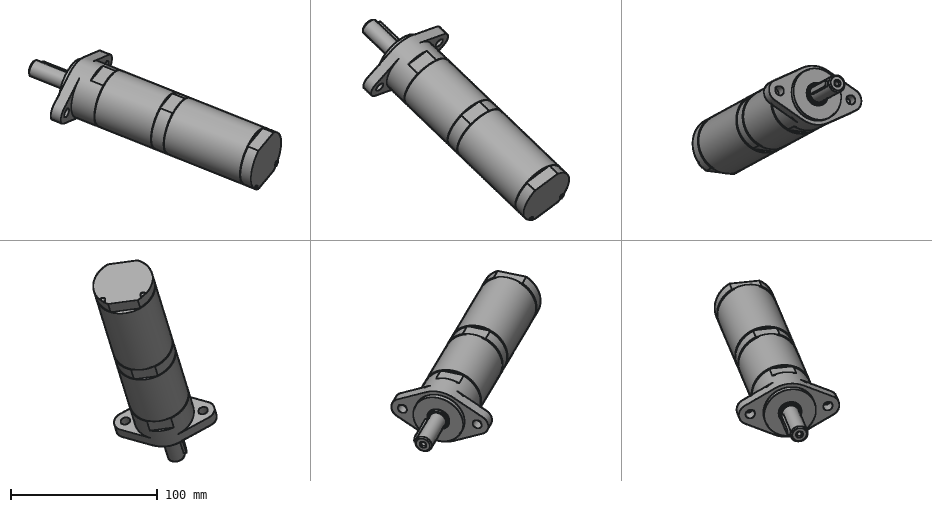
import cadquery as cq
import math

seal_start = 30.1
pilot_start = 31.2
flange_start = 34.5
flange_thickness = 8.0
front_flat_start = 50.7
gear_start = 60.5
middle_flat_start = 105.0
motor_start = 115.0
cap_start = 175.0
cap_end = 183.7
overall_length = 184.2

body_diameter = 41.5
body_radius = body_diameter / 2
section_chamfer = 0.5
gear_flat_height = 38.0
cap_flat_height = 36.0

bolt_spacing = 54.0
bolt_hole_diameter = 6.5
ear_radius = 8.0
pilot_diameter = 36.0

seal_lip_diameter = 14.2
seal_recess_diameter = 14.95
seal_mouth_diameter = 16.0
seal_mouth_depth = 0.5
seal_recess_depth = 1.0

shaft_diameter = 12.0
shaft_chamfer = 1.0
centre_hole_diameter = 3.24
centre_hole_depth = 10.0
drill_point_angle = 118.0
countersink_diameter = 5.0

key_start = 2.8
key_length = 25.0
key_width = 4.0
key_height = 4.0
key_top = 7.5

pad_diameter = 4.0
pad_circle_radius = 20.0
pad_angles = (-45.0, -135.0)


def cylinder(start, end, diameter):
    """Cylinder on the motor axis between two stations."""
    return cq.Workplane("YZ", origin=(start, 0, 0)).circle(diameter / 2).extrude(end - start)


def chamfered_section(start, end):
    """Full-diameter body section with a chamfer on its front edge."""
    return cylinder(start, end, body_diameter).faces("<X").chamfer(section_chamfer)


def cut_flats(body, start, end, height):
    """Mill a pair of flats square to Z, leaving the given height between them."""
    length = end - start
    band = cq.Workplane("YZ", origin=(start, 0, 0)).rect(body_diameter, body_diameter).extrude(length)
    kept = cq.Workplane("YZ", origin=(start, 0, 0)).rect(body_diameter, height).extrude(length)
    return body.cut(band.cut(kept))


def make_body():
    """Row of equal-diameter sections with three pairs of wrench flats."""
    body = cylinder(flange_start, gear_start, body_diameter)
    section_ends = (gear_start, middle_flat_start, motor_start, cap_start, cap_end)
    for start, end in zip(section_ends, section_ends[1:]):
        body = body.union(chamfered_section(start, end))
    body = cut_flats(body, front_flat_start, gear_start, gear_flat_height)
    body = cut_flats(body, middle_flat_start, motor_start, gear_flat_height)
    return cut_flats(body, cap_start, cap_end, cap_flat_height)


def make_flange():
    """Two bolt ears whose straight sides run tangent to the body circle."""
    ear_offset = bolt_spacing / 2
    normal_y = (body_radius - ear_radius) / ear_offset
    normal_z = math.sqrt(1 - normal_y**2)
    body_y = body_radius * normal_y
    body_z = body_radius * normal_z
    ear_y = ear_offset + ear_radius * normal_y
    ear_z = ear_radius * normal_z
    ear_tip = ear_offset + ear_radius
    outline = cq.Workplane("YZ", origin=(flange_start, 0, 0)).moveTo(-body_y, body_z)
    return (
        outline
        .lineTo(body_y, body_z)
        .lineTo(ear_y, ear_z)
        .threePointArc((ear_tip, 0), (ear_y, -ear_z))
        .lineTo(body_y, -body_z)
        .lineTo(-body_y, -body_z)
        .lineTo(-ear_y, -ear_z)
        .threePointArc((-ear_tip, 0), (-ear_y, ear_z))
        .close()
        .pushPoints([(-ear_offset, 0), (ear_offset, 0)])
        .circle(bolt_hole_diameter / 2)
        .extrude(flange_thickness)
    )


def make_pilot():
    """Locating spigot with the seal lip in its face."""
    recess_end = pilot_start + seal_recess_depth
    pilot = cylinder(pilot_start, flange_start, pilot_diameter)
    pilot = pilot.cut(cylinder(pilot_start, recess_end, seal_recess_diameter))
    pilot = pilot.cut(cylinder(pilot_start, pilot_start + seal_mouth_depth, seal_mouth_diameter))
    return pilot.union(cylinder(seal_start, recess_end, seal_lip_diameter))


def make_shaft():
    """Plain shaft with a chamfered tip and a blind centre hole."""
    shaft = cylinder(0, flange_start, shaft_diameter).faces("<X").chamfer(shaft_chamfer)
    countersink_depth = (countersink_diameter - centre_hole_diameter) / 2
    drill_tip = centre_hole_diameter / 2 / math.tan(math.radians(drill_point_angle / 2))
    centre_hole = (
        cq.Workplane("XY")
        .lineTo(0, countersink_diameter / 2)
        .lineTo(countersink_depth, centre_hole_diameter / 2)
        .lineTo(centre_hole_depth, centre_hole_diameter / 2)
        .lineTo(centre_hole_depth + drill_tip, 0)
        .close()
        .revolve(360, (0, 0, 0), (1, 0, 0))
    )
    return shaft.cut(centre_hole)


def make_key():
    """Round-ended key partly sunk into the shaft."""
    key_centre_x = key_start + key_length / 2
    return (
        cq.Workplane("XZ", origin=(key_centre_x, key_top, 0))
        .slot2D(key_length, key_width)
        .extrude(key_height)
    )


def make_rear_pads():
    """Round pads on the rear face, trimmed to the body circle."""
    pads = cq.Workplane("YZ", origin=(cap_end, 0, 0))
    for angle in pad_angles:
        pad_y = pad_circle_radius * math.cos(math.radians(angle))
        pad_z = pad_circle_radius * math.sin(math.radians(angle))
        pads = pads.moveTo(pad_y, pad_z).circle(pad_diameter / 2)
    pads = pads.extrude(overall_length - cap_end)
    return pads.intersect(cylinder(cap_end, overall_length, body_diameter))


result = make_body()
for feature in (make_flange(), make_pilot(), make_shaft(), make_key(), make_rear_pads()):
    result = result.union(feature)